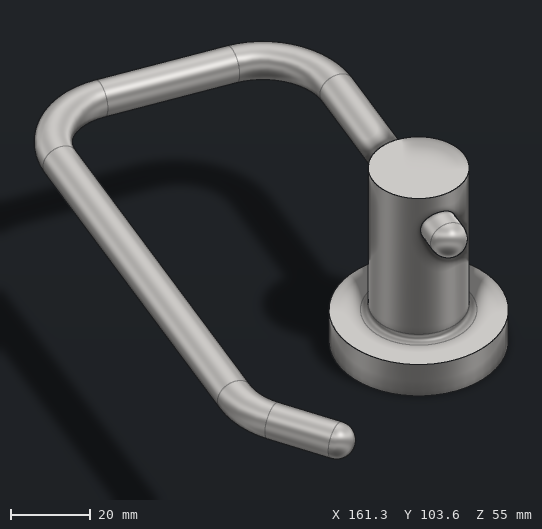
import cadquery as cq
import math

flange_diameter = 45.0
flange_height = 10.0
post_diameter = 25.3
total_height = 55.0
post_fillet = 2.0

bar_diameter = 9.7
bar_radius = bar_diameter / 2
bend_radius = 20.0
bar_height = 45.0
bar_tilt = 1.3
stub_length = 17.7
side_offset = 69.0
front_offset = 76.3
front_run_end = 56.3
tip_angle = 40.0
tip_end_x = 82.6


def make_post():
    flange_radius = flange_diameter / 2
    post_radius = post_diameter / 2
    fillet_inset = post_fillet * (1 - math.sin(math.radians(45)))
    return (
        cq.Workplane("XZ")
        .lineTo(flange_radius, 0)
        .lineTo(flange_radius, flange_height)
        .lineTo(post_radius + post_fillet, flange_height)
        .threePointArc(
            (post_radius + fillet_inset, flange_height + fillet_inset),
            (post_radius, flange_height + post_fillet),
        )
        .lineTo(post_radius, total_height)
        .lineTo(0, total_height)
        .close()
        .revolve(360, (0, 0, 0), (0, 1, 0))
    )


def make_bar():
    half_bend = bend_radius * math.sin(math.radians(45))
    side_x = -side_offset
    bend_x = side_x + bend_radius
    angle = math.radians(tip_angle)

    def tip_bend_point(turn):
        return (
            front_run_end + bend_radius * math.sin(turn),
            -front_offset + bend_radius * (1 - math.cos(turn)),
        )

    tip_start = tip_bend_point(angle)
    tip_end = (tip_end_x, tip_start[1] + (tip_end_x - tip_start[0]) * math.tan(angle))

    path = (
        cq.Workplane("XY")
        .moveTo(stub_length, 0)
        .lineTo(bend_x, 0)
        .threePointArc((bend_x - half_bend, half_bend - bend_radius), (side_x, -bend_radius))
        .lineTo(side_x, bend_radius - front_offset)
        .threePointArc(
            (bend_x - half_bend, bend_radius - front_offset - half_bend),
            (bend_x, -front_offset),
        )
        .lineTo(front_run_end, -front_offset)
        .threePointArc(tip_bend_point(angle / 2), tip_start)
        .lineTo(*tip_end)
    )
    bar = cq.Workplane("YZ", origin=(stub_length, 0, 0)).circle(bar_radius).sweep(path)

    for end in [(stub_length, 0), tip_end]:
        bar = bar.union(cq.Workplane("XY").sphere(bar_radius).translate((*end, 0)))

    return bar.rotate((0, 0, 0), (1, 0, 0), -bar_tilt).translate((0, 0, bar_height))


bar = make_bar()
post = make_post().cut(bar)

result = cq.Compound.makeCompound([*post.solids().vals(), *bar.solids().vals()])